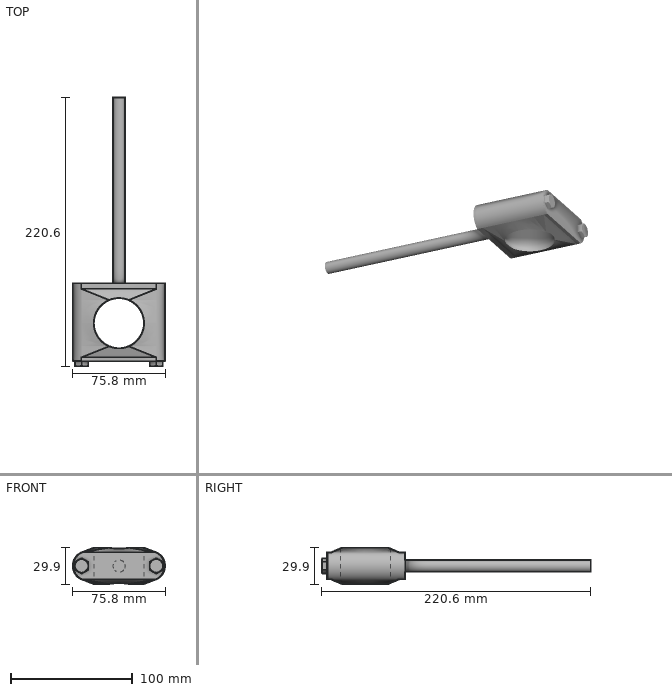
import cadquery as cq
import math

BODY_WIDTH = 75.85
BODY_HALF_HEIGHT = 11.0
FLAT_HALF_WIDTH = 30.8
BACK_Y = 32.8
BODY_LENGTH = 63.5
FRONT_Y = BACK_Y - BODY_LENGTH

BODY_HEIGHT_OVER_PADS = 29.85
PAD_TOP_Z = BODY_HEIGHT_OVER_PADS / 2
PAD_HALF_LENGTH = 28.1
RIM_HALF_LENGTH = 18.9
BORE_RADIUS = 20.5
RIM_HALF_WIDTH = math.sqrt(BORE_RADIUS**2 - RIM_HALF_LENGTH**2)

PLATE_THICKNESS = 0.7
PLATE_END_INSET = 0.5
PLATE_FRONT_Y = FRONT_Y - PLATE_THICKNESS

ROD_DIAMETER = 10.0
ROD_LENGTH = 152.4

BOLT_X = 30.6
HEX_SIDES = 6
HEX_HALF_SECTOR = math.pi / HEX_SIDES
CORNER_UP_TURN = 90
HEAD_ACROSS_FLATS = 11.0
HEAD_ACROSS_CORNERS = HEAD_ACROSS_FLATS / math.cos(HEX_HALF_SECTOR)
TOTAL_LENGTH = 220.58
HEAD_HEIGHT = TOTAL_LENGTH - ROD_LENGTH - BODY_LENGTH - PLATE_THICKNESS
HEAD_CHAMFER_ANGLE = 30


def round_ended_bar(width, front_y, length):
    """Bar along Y with flat top and bottom and arc-shaped ends."""
    x = FLAT_HALF_WIDTH
    z = BODY_HALF_HEIGHT
    return (
        cq.Workplane("XZ", origin=(0, front_y, 0))
        .moveTo(-x, z)
        .lineTo(x, z)
        .threePointArc((width / 2, 0), (x, -z))
        .lineTo(-x, -z)
        .threePointArc((-width / 2, 0), (-x, z))
        .close()
        .extrude(-length)
    )


def polygon_face(points):
    return cq.Face.makeFromWires(cq.Wire.makePolygon(points, close=True))


def quarter_pad_faces(sign_x, sign_y):
    """Faces of one pad corner: a ruled side surface and a flat triangle."""
    base_x = sign_x * FLAT_HALF_WIDTH
    rim_y = sign_y * RIM_HALF_LENGTH
    base_mid = cq.Vector(base_x, 0, BODY_HALF_HEIGHT)
    base_edge = cq.Vector(base_x, rim_y, BODY_HALF_HEIGHT)
    base_corner = cq.Vector(base_x, sign_y * PAD_HALF_LENGTH, BODY_HALF_HEIGHT)
    rim_mid = cq.Vector(sign_x * BORE_RADIUS, 0, PAD_TOP_Z)
    rim_corner = cq.Vector(sign_x * RIM_HALF_WIDTH, rim_y, PAD_TOP_Z)
    half_angle = math.atan2(RIM_HALF_LENGTH, RIM_HALF_WIDTH) / 2
    rim_between = cq.Vector(
        sign_x * BORE_RADIUS * math.cos(half_angle),
        sign_y * BORE_RADIUS * math.sin(half_angle),
        PAD_TOP_Z,
    )
    base_line = cq.Edge.makeLine(base_mid, base_edge)
    rim_arc = cq.Edge.makeThreePointArc(rim_mid, rim_between, rim_corner)
    side = cq.Face.makeRuledSurface(base_line, rim_arc)
    triangle = polygon_face([base_edge, base_corner, rim_corner])
    return [side, triangle]


def end_slope(sign_y):
    """Flat slope at the front or back of the pad."""
    base_y = sign_y * PAD_HALF_LENGTH
    rim_y = sign_y * RIM_HALF_LENGTH
    return polygon_face(
        [
            cq.Vector(-FLAT_HALF_WIDTH, base_y, BODY_HALF_HEIGHT),
            cq.Vector(FLAT_HALF_WIDTH, base_y, BODY_HALF_HEIGHT),
            cq.Vector(RIM_HALF_WIDTH, rim_y, PAD_TOP_Z),
            cq.Vector(-RIM_HALF_WIDTH, rim_y, PAD_TOP_Z),
        ]
    )


def pad_base():
    """Rectangle on which the pad stands."""
    plane = cq.Workplane("XY", origin=(0, 0, BODY_HALF_HEIGHT))
    outline = plane.rect(2 * FLAT_HALF_WIDTH, 2 * PAD_HALF_LENGTH)
    return cq.Face.makeFromWires(outline.wires().val())


def pad_top():
    """Level top of the pad, which the bore later removes."""
    outline = (
        cq.Workplane("XY", origin=(0, 0, PAD_TOP_Z))
        .moveTo(-RIM_HALF_WIDTH, -RIM_HALF_LENGTH)
        .lineTo(RIM_HALF_WIDTH, -RIM_HALF_LENGTH)
        .threePointArc((BORE_RADIUS, 0), (RIM_HALF_WIDTH, RIM_HALF_LENGTH))
        .lineTo(-RIM_HALF_WIDTH, RIM_HALF_LENGTH)
        .threePointArc((-BORE_RADIUS, 0), (-RIM_HALF_WIDTH, -RIM_HALF_LENGTH))
        .close()
    )
    return cq.Face.makeFromWires(outline.val())


def pad():
    """Pad on the upper face, sloping up from a rectangle to the bore rim."""
    faces = [pad_base(), pad_top()]
    for sign_y in (-1, 1):
        faces.append(end_slope(sign_y))
        for sign_x in (-1, 1):
            faces += quarter_pad_faces(sign_x, sign_y)
    return cq.Workplane(cq.Solid.makeSolid(cq.Shell.makeShell(faces)).fix())


def rod():
    return cq.Workplane("XZ", origin=(0, BACK_Y, 0)).circle(ROD_DIAMETER / 2).extrude(-ROD_LENGTH)


def bolt_head(x):
    """Hexagon head with a corner up, its corners trimmed by a cone."""
    corner_trim = (HEAD_ACROSS_CORNERS - HEAD_ACROSS_FLATS) / 2
    trim_depth = corner_trim * math.tan(math.radians(HEAD_CHAMFER_ANGLE))
    plane = cq.Workplane("XZ", origin=(x, PLATE_FRONT_Y, 0))
    hexagon = (
        plane.transformed(rotate=(0, 0, CORNER_UP_TURN))
        .polygon(HEX_SIDES, HEAD_ACROSS_CORNERS)
        .extrude(HEAD_HEIGHT)
    )
    envelope = (
        plane.circle(HEAD_ACROSS_CORNERS / 2)
        .extrude(HEAD_HEIGHT)
        .faces("<Y")
        .chamfer(trim_depth, corner_trim)
    )
    return hexagon.intersect(envelope)


upper_pad = pad()
lower_pad = upper_pad.mirror("XY")
bore = cq.Workplane("XY", origin=(0, 0, -PAD_TOP_Z)).circle(BORE_RADIUS).extrude(BODY_HEIGHT_OVER_PADS)

body = round_ended_bar(BODY_WIDTH, FRONT_Y, BODY_LENGTH)
front_plate = round_ended_bar(BODY_WIDTH - 2 * PLATE_END_INSET, PLATE_FRONT_Y, PLATE_THICKNESS)

clamp = body.union(front_plate).union(upper_pad).union(lower_pad)
clamp = clamp.cut(bore).union(rod())
for bolt_x in (-BOLT_X, BOLT_X):
    clamp = clamp.union(bolt_head(bolt_x))

result = cq.Workplane(clamp.solids().val())